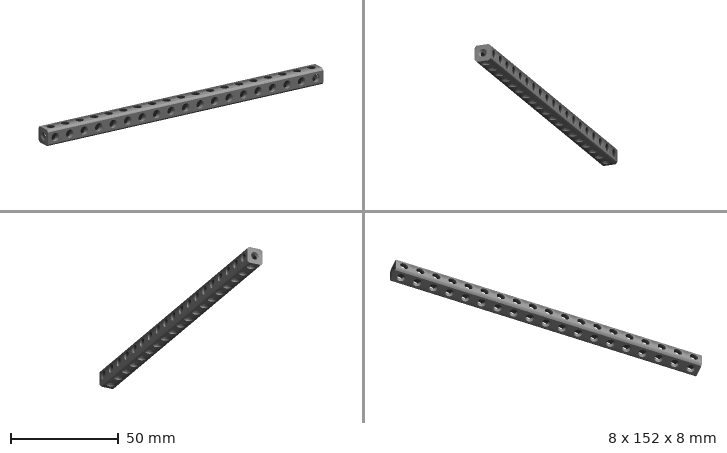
import cadquery as cq

length = 152.0
cell_count = 19
corner_diameter = 10.0
end_bore_diameter = 3.3
groove_pitch = 0.7
groove_count = 4

pitch = length / cell_count
side = pitch
hole_diameter = side / 2
end_bore_depth = pitch / 2


def rounded_bar():
    """Square bar along Y whose long edges are turned to a cylinder about the bar axis."""
    bar = cq.Workplane("XZ").rect(side, side).extrude(length / 2, both=True)
    turning = cq.Workplane("XZ").circle(corner_diameter / 2).extrude(length / 2, both=True)
    return bar.intersect(turning)


def cross_holes():
    """Row of vertical cylinders, one at the centre of each cell."""
    row = cq.Workplane("XY").rarray(1.5, pitch, 1, cell_count)
    return row.circle(hole_diameter / 2).extrude(side, both=True)


def end_bore():
    """Blind bore entering the -Y end along the bar axis, with thread-like V grooves as closed rings."""
    mouth = -length / 2
    bottom = mouth + end_bore_depth
    half_profile = [(0, mouth)]
    for index in range(groove_count):
        groove_root = mouth + index * groove_pitch
        half_profile.append((hole_diameter / 2, groove_root))
        half_profile.append((end_bore_diameter / 2, groove_root + groove_pitch / 2))
    half_profile.append((end_bore_diameter / 2, bottom))
    half_profile.append((0, bottom))
    return cq.Workplane("XY").polyline(half_profile).close().revolve(360, (0, 0, 0), (0, 1, 0))


vertical_holes = cross_holes()
sideways_holes = vertical_holes.rotate((0, 0, 0), (0, 1, 0), 90)
front_bore = end_bore()
back_bore = front_bore.mirror("XZ")

result = rounded_bar()
for cutter in (vertical_holes, sideways_holes, front_bore, back_bore):
    result = result.cut(cutter)